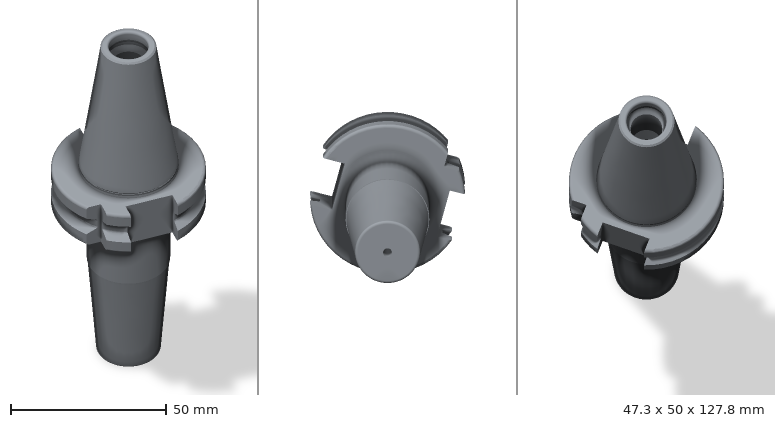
import cadquery as cq
import math

total_length = 127.8
nose_cone_top = 38.2
flange_bottom = 61.0
flange_top = 76.8
taper_bottom = 78.7
flange_height = flange_top - flange_bottom

nose_radius = 10.5
shank_diameter = 27.0
shank_radius = shank_diameter / 2
nose_cone_top_radius = 13.3
nose_round = 0.9
shank_fillet = 3.0

taper_slope = 7 / 48
taper_small_radius = 9.0
taper_chamfer = 0.5
neck_radius = 15.6
collar_radius = 15.8
collar_height = 1.3
collar_flare_height = 0.6
collar_flare_radius = 16.2

flange_diameter = 50.0
flange_radius = flange_diameter / 2
flange_round = 1.0
groove_floor_radius = 22.0
groove_floor_width = 3.3
groove_mouth_width = 6.6
groove_corner_round = 0.6
groove_center = (flange_bottom + flange_top) / 2

slot_width = 16.1
left_slot_floor = 16.4
right_slot_floor = 18.7
notch_x = 14.8
notch_y = 15.1

pilot_radius = 6.4
mouth_round = 0.8
pilot_depth = 3.1
relief_radius = 6.8
relief_top_depth = 4.2
relief_bottom_depth = 5.4
thread_radius = 5.1
thread_depth = 20.5
drill_point_angle = 118
pocket_radius = 2.4
pocket_length = 5.1
through_radius = 1.4


def make_body():
    """Revolved outer shape, from the nose up to the small end of the taper."""
    taper_large_radius = taper_small_radius + (total_length - taper_bottom) * taper_slope
    chamfer_base_radius = taper_small_radius + taper_chamfer * taper_slope
    floor_half = groove_floor_width / 2
    mouth_half = groove_mouth_width / 2

    wall_angle = math.atan2(flange_radius - groove_floor_radius, mouth_half - floor_half)
    tangent_length = groove_corner_round * math.tan(wall_angle / 2)
    floor_end = floor_half - tangent_length
    wall_end = floor_half + tangent_length * math.cos(wall_angle)
    wall_end_radius = groove_floor_radius + tangent_length * math.sin(wall_angle)

    profile = (
        cq.Workplane("XZ")
        .moveTo(0, 0)
        .lineTo(nose_radius - nose_round, 0)
        .radiusArc((nose_radius, nose_round), -nose_round)
        .lineTo(nose_cone_top_radius, nose_cone_top)
        .lineTo(shank_radius, nose_cone_top)
        .lineTo(shank_radius, flange_bottom - shank_fillet)
        .radiusArc((shank_radius + shank_fillet, flange_bottom), shank_fillet)
        .lineTo(flange_radius - flange_round, flange_bottom)
        .radiusArc((flange_radius, flange_bottom + flange_round), -flange_round)
        .lineTo(flange_radius, groove_center - mouth_half)
        .lineTo(wall_end_radius, groove_center - wall_end)
        .radiusArc((groove_floor_radius, groove_center - floor_end), groove_corner_round)
        .lineTo(groove_floor_radius, groove_center + floor_end)
        .radiusArc((wall_end_radius, groove_center + wall_end), groove_corner_round)
        .lineTo(flange_radius, groove_center + mouth_half)
        .lineTo(flange_radius, flange_top - flange_round)
        .radiusArc((flange_radius - flange_round, flange_top), -flange_round)
        .lineTo(collar_flare_radius, flange_top)
        .lineTo(collar_radius, flange_top + collar_flare_height)
        .lineTo(collar_radius, flange_top + collar_height)
        .lineTo(neck_radius, flange_top + collar_height)
        .lineTo(taper_large_radius, taper_bottom)
        .lineTo(chamfer_base_radius, total_length - taper_chamfer)
        .lineTo(taper_small_radius - taper_chamfer, total_length)
        .lineTo(0, total_length)
        .close()
    )
    return profile.revolve()


def make_bore():
    """Revolved cutter for the stepped bore and the coolant hole."""
    drill_point_height = (thread_radius - pocket_radius) / math.tan(math.radians(drill_point_angle / 2))
    cone_depth = relief_bottom_depth + (relief_radius - thread_radius)
    pocket_top_depth = thread_depth + drill_point_height
    pocket_floor_depth = pocket_top_depth + pocket_length
    profile = (
        cq.Workplane("XZ")
        .moveTo(0, total_length)
        .lineTo(pilot_radius + mouth_round, total_length)
        .radiusArc((pilot_radius, total_length - mouth_round), -mouth_round)
        .lineTo(pilot_radius, total_length - pilot_depth)
        .lineTo(relief_radius, total_length - relief_top_depth)
        .lineTo(relief_radius, total_length - relief_bottom_depth)
        .lineTo(thread_radius, total_length - cone_depth)
        .lineTo(thread_radius, total_length - thread_depth)
        .lineTo(pocket_radius, total_length - pocket_top_depth)
        .lineTo(pocket_radius, total_length - pocket_floor_depth)
        .lineTo(through_radius, total_length - pocket_floor_depth)
        .lineTo(through_radius, 0)
        .lineTo(0, 0)
        .close()
    )
    return profile.revolve()


def flange_cutter(x_start, x_end, y_start, y_end):
    """Box over the given X and Y ranges, as tall as the flange."""
    box = cq.Workplane("XY").box(x_end - x_start, y_end - y_start, flange_height, centered=False)
    return box.translate((x_start, y_start, flange_bottom))


left_slot = flange_cutter(-flange_radius, -left_slot_floor, -slot_width / 2, slot_width / 2)
right_slot = flange_cutter(right_slot_floor, flange_radius, -slot_width / 2, slot_width / 2)
notch = flange_cutter(notch_x, flange_radius, -flange_radius, -notch_y)

result = make_body().cut(make_bore()).cut(left_slot).cut(right_slot).cut(notch)